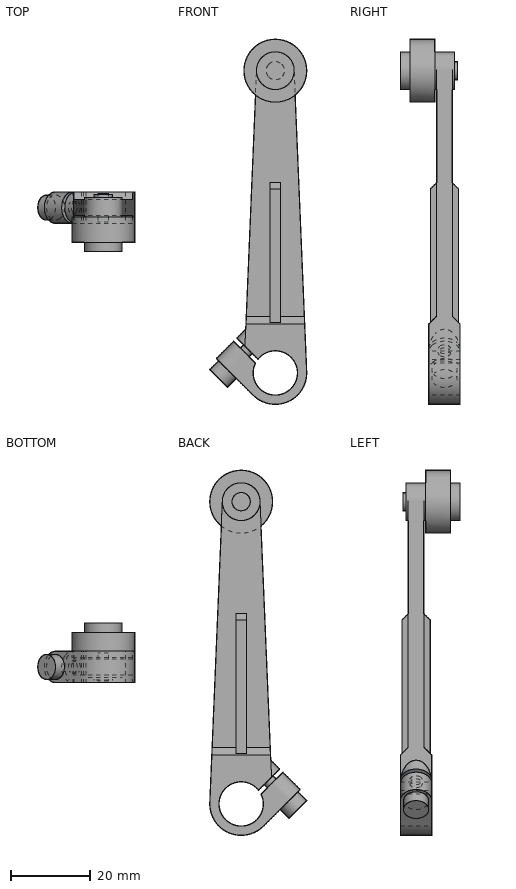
import cadquery as cq
import math


arm_length = 76.2
arm_thickness = 3.97
hub_radius = 4.76
hub_back = 2.6

block_thickness = 7.94
block_radius = block_thickness
bore_radius = 5.56
block_shoulder_height = 12.3

rib_width = 2.7
rib_thickness = 7.14
rib_top_height = 47.95

roller_radius = 7.94
roller_front = -8.73
roller_width = 6.35
pin_front = -11.11
pin_tail_radius = 2.3
pin_tail_back = 3.3

clamp_angle = 45
slot_upper = -0.66
slot_width = 1.1
slot_lower = slot_upper - slot_width
screw_offset = 9.12
boss_radius = block_thickness / 2
boss_depth = 3.5
screw_radius = 1.59
screw_head_radius = 3.175
screw_head_end = -11.11


def disc(radius, y_start, y_end, height):
    """Cylinder along Y, centred at x = 0 and z = height."""
    axis_start = cq.Vector(0, y_start, height)
    return cq.Workplane(obj=cq.Solid.makeCylinder(radius, y_end - y_start, axis_start, cq.Vector(0, 1, 0)))


def from_clamp_frame(shape):
    """Turn a shape built with the slot along -X so that the slot points up and to -X."""
    return shape.rotate((0, 0, 0), (0, 1, 0), clamp_angle)


def screw_cylinder(radius, z_start, z_end):
    """Cylinder on the screw axis, in the clamp frame."""
    axis_start = cq.Vector(-screw_offset, 0, z_start)
    return cq.Workplane(obj=cq.Solid.makeCylinder(radius, z_end - z_start, axis_start))


def make_lever_outline():
    """Block and hub circles joined by their common tangents, at full block thickness."""
    tangent_sin = (block_radius - hub_radius) / arm_length
    tangent_cos = math.sqrt(1 - tangent_sin ** 2)
    foot_x = block_radius * tangent_cos
    foot_z = block_radius * tangent_sin
    top_x = hub_radius * tangent_cos
    top_z = arm_length + hub_radius * tangent_sin
    return (
        cq.Workplane("XZ")
        .moveTo(-foot_x, foot_z)
        .lineTo(-top_x, top_z)
        .threePointArc((0, arm_length + hub_radius), (top_x, top_z))
        .lineTo(foot_x, foot_z)
        .threePointArc((0, -block_radius), (-foot_x, foot_z))
        .close()
        .extrude(block_thickness / 2, both=True)
    )


def make_side_profile():
    """Thickness along the height: thick block, 45 degree ramps, thin arm."""
    block_y = block_thickness / 2
    arm_y = arm_thickness / 2
    ramp_top = block_shoulder_height + block_y - arm_y
    top = arm_length + hub_radius
    return (
        cq.Workplane("YZ")
        .polyline([
            (-block_y, -block_radius), (block_y, -block_radius), (block_y, block_shoulder_height),
            (arm_y, ramp_top), (arm_y, top), (-arm_y, top), (-arm_y, ramp_top),
            (-block_y, block_shoulder_height),
        ])
        .close()
        .extrude(block_radius, both=True)
    )


def make_ribs():
    """Both ribs as one bar through the arm, with 45 degree top ends."""
    rib_y = rib_thickness / 2
    arm_y = arm_thickness / 2
    rib_shoulder = rib_top_height - (rib_y - arm_y)
    return (
        cq.Workplane("YZ")
        .polyline([
            (-rib_y, block_shoulder_height), (rib_y, block_shoulder_height), (rib_y, rib_shoulder),
            (arm_y, rib_top_height), (-arm_y, rib_top_height), (-rib_y, rib_shoulder),
        ])
        .close()
        .extrude(rib_width / 2, both=True)
    )


def make_jaw():
    """Lower jaw, tangent to the block circle and rounded about the screw axis."""
    jaw_height = block_radius + slot_lower
    plate = cq.Workplane("XY").box(
        screw_offset, block_thickness, jaw_height, centered=(False, True, False)
    ).translate((-screw_offset, 0, -block_radius))
    return from_clamp_frame(plate.union(screw_cylinder(boss_radius, -block_radius, slot_lower)))


def make_slot():
    """Slot from the bore axis out past the end of the jaw."""
    slot_length = screw_offset + 2 * boss_radius
    slot = cq.Workplane("XY").box(
        slot_length, 2 * block_thickness, slot_width, centered=(False, True, False)
    ).translate((-slot_length, 0, slot_lower))
    return from_clamp_frame(slot)


def make_screw():
    """Screw shank crossing the slot, with its head below the jaw."""
    head = screw_cylinder(screw_head_radius, screw_head_end, -block_radius)
    shank = screw_cylinder(screw_radius, -block_radius, boss_depth)
    return from_clamp_frame(head.union(shank))


def make_roller():
    """Roller, arm hub and pin on the roller axis."""
    hub_and_pin = disc(hub_radius, pin_front, hub_back, arm_length)
    roller = disc(roller_radius, roller_front, roller_front + roller_width, arm_length)
    pin_tail = disc(pin_tail_radius, 0, pin_tail_back, arm_length)
    return hub_and_pin.union(roller).union(pin_tail)


lever = make_lever_outline().intersect(make_side_profile()).union(make_ribs())
upper_boss = from_clamp_frame(screw_cylinder(boss_radius, slot_upper, boss_depth))
bore = disc(bore_radius, -block_thickness, block_thickness, 0)

body = lever.union(make_jaw()).union(upper_boss).cut(make_slot()).cut(bore)
result = body.union(make_screw()).union(make_roller())